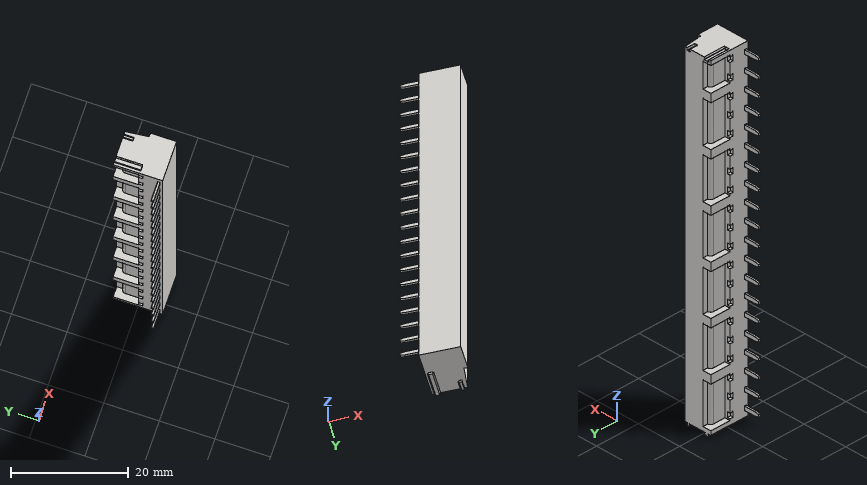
import cadquery as cq
import math

body_width = 7.45
body_depth = 9.0
body_height = 76.2
pin_count = 20
pitch = body_height / pin_count

step_y = 4.75
slope_start_x = 6.75
slope_end_x = 6.3

pin_length = 3.45
pin_thickness = 0.45
pin_height = 0.9
pin_y = 0.7
tip_length = 0.9
tip_height = 0.5

pocket_reach = 4.6
pocket_deep = 1.9
deep_floor_reach = 1.15
step_radius = 0.7
pocket_shallow = pocket_deep - step_radius
end_wall = 1.0
rib_height = 1.9
pins_per_pocket = 3
first_rib_pins = 3

notch_width = 0.8
notch_height = 1.15
notch_depth = 0.6

key_height = 0.5
foot_height = 0.2
key_flare = 0.2
mouth_chamfer = 0.2
wide_key_x = 0.45
wide_key_width = 1.15
wide_key_length = 4.8
hook_key_x = 5.1
hook_key_width = 0.7
hook_key_length = 1.85


def make_body():
    outline = [
        (0, 0),
        (body_width, 0),
        (body_width, step_y),
        (slope_start_x, step_y),
        (slope_end_x, body_depth),
        (0, body_depth),
    ]
    return cq.Workplane("XY").polyline(outline).close().extrude(body_height)


def make_pocket(z_bottom, z_top):
    """Pocket with a deep outer floor and a shallow inner floor, joined by a quarter-round step."""
    inner_y = body_depth - pocket_reach
    round_y = body_depth - deep_floor_reach
    arc_offset = step_radius * math.sqrt(0.5)
    arc_middle = (pocket_deep - arc_offset, round_y - step_radius + arc_offset)
    profile = (
        cq.Workplane("XY", origin=(0, 0, z_bottom))
        .moveTo(0, body_depth)
        .lineTo(pocket_deep, body_depth)
        .lineTo(pocket_deep, round_y)
        .threePointArc(arc_middle, (pocket_shallow, round_y - step_radius))
        .lineTo(pocket_shallow, inner_y)
        .lineTo(0, inner_y)
        .close()
    )
    return profile.extrude(z_top - z_bottom)


def make_notch(z):
    notch = cq.Workplane("XY").box(notch_depth, notch_width, notch_height, centered=(False, False, True))
    return notch.translate((0, body_depth - pocket_reach - notch_width, z))


def make_pin(z):
    """Flat pin whose tip narrows in Z; its root lies on the wire face."""
    outline = [
        (0, z - pin_height / 2),
        (tip_length - pin_length, z - pin_height / 2),
        (-pin_length, z - tip_height / 2),
        (-pin_length, z + tip_height / 2),
        (tip_length - pin_length, z + pin_height / 2),
        (0, z + pin_height / 2),
    ]
    pin = cq.Workplane("XZ").polyline(outline).close().extrude(pin_thickness / 2, both=True)
    return pin.translate((0, pin_y, 0))


def extrude_from_back(profile, length):
    """Extrude an XZ profile from the +Y face of the housing towards -Y."""
    plane = cq.Workplane("XZ", origin=(0, body_depth, 0))
    return plane.polyline(profile).close().extrude(length)


def make_key(x, width, length, right_flare):
    """Key below the housing: narrow neck, wide waist, narrow foot."""
    left = x + key_flare
    right = x + width - right_flare
    profile = [
        (left, 0),
        (x, foot_height - key_height),
        (left, -key_height),
        (right, -key_height),
        (x + width, foot_height - key_height),
        (right, 0),
    ]
    return extrude_from_back(profile, length)


def make_groove(x, width, length, right_flare):
    """Undercut groove in the top face: chamfered mouth, narrow throat, wide floor."""
    throat_z = body_height - mouth_chamfer
    floor_z = body_height - key_height
    profile = [
        (x, body_height),
        (x + key_flare, throat_z),
        (x, floor_z),
        (x + width, floor_z),
        (x + width - right_flare, throat_z),
        (x + width, body_height),
    ]
    return extrude_from_back(profile, length)


result = make_body()

rib_centers = [n * pitch for n in range(first_rib_pins, pin_count, pins_per_pocket)]
pocket_bottoms = [end_wall] + [z + rib_height / 2 for z in rib_centers]
pocket_tops = [z - rib_height / 2 for z in rib_centers] + [body_height - end_wall]
for z_bottom, z_top in zip(pocket_bottoms, pocket_tops):
    result = result.cut(make_pocket(z_bottom, z_top))

for n in range(pin_count):
    pin_z = (n + 0.5) * pitch
    result = result.cut(make_notch(pin_z)).union(make_pin(pin_z))

for x, width, length, right_flare in [
    (wide_key_x, wide_key_width, wide_key_length, key_flare),
    (hook_key_x, hook_key_width, hook_key_length, 0),
]:
    result = result.union(make_key(x, width, length, right_flare))
    result = result.cut(make_groove(x, width, length, right_flare))